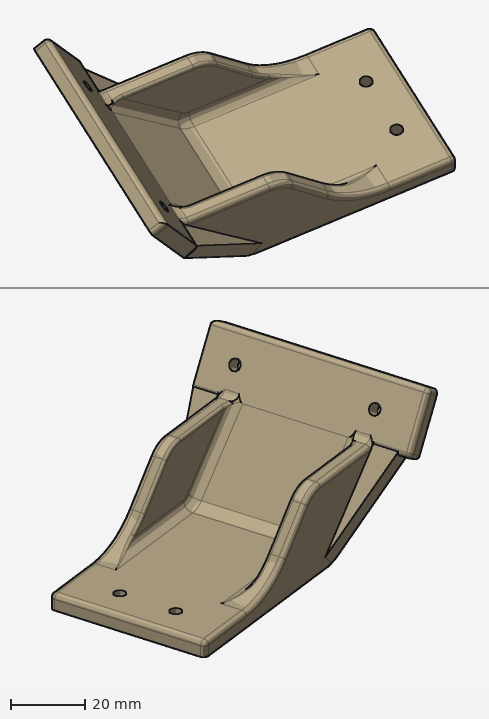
import cadquery as cq
import math

base_width = 50.0
plate = 5.0
base_length = 62.6
edge_round = 1.5
hole_diameter = 3.5
base_hole_spacing = 18.0
base_hole_setback = 10.1

wall_top = 27.6
wall_slope = math.radians(47)
wall_curve_start = 20.3
wall_foot_radius = 25.0
wall_shoulder_radius = 10.1
wall_end_radius = 3.0
inner_edge_round = 1.0

ramp_rise = 24.1
ramp_angle = math.radians(45)
ramp_corner_radius = 5.0
floor_bend_radius = 6.0
cavity_side_radius = 3.0
flange_angle = math.radians(60)
flange_length = 19.9
flange_right = 33.1
flange_left = -36.9
flange_hole_spacing = 44.95

half_base = base_width / 2
half_cavity = half_base - plate
bend_y = -(base_length + ramp_rise / math.tan(ramp_angle))

flange_normal = cq.Vector(0, -math.sin(flange_angle), -math.cos(flange_angle))
flange_plane = cq.Plane(origin=(0, bend_y, ramp_rise), xDir=(1, 0, 0), normal=flange_normal)
ramp_normal = cq.Vector(0, -math.sin(ramp_angle), -math.cos(ramp_angle))
ramp_plane = cq.Plane(origin=(0, -base_length, 0), xDir=(1, 0, 0), normal=ramp_normal)

flange_back_foot = flange_plane.toWorldCoords((0, 0, -plate))


def flange_back_y(z):
    """Y of the flange's rear face at height z."""
    return flange_back_foot.y - (z - flange_back_foot.z) / math.tan(flange_angle)


def ramp_top_y(z):
    """Y of the ramp's upper face at height z."""
    return -base_length + plate / math.sin(ramp_angle) - z / math.tan(ramp_angle)


def round_edge(solid, point, radius):
    """Round the edge nearest to a point, with the edges tangent to it."""
    return solid.edges(cq.NearestToPointSelector(point)).fillet(radius)


def round_cross_edge(solid, y, z, radius):
    """Round the edge running along X that is nearest to (y, z)."""
    return solid.edges("|X").edges(cq.NearestToPointSelector((0, y, z))).fillet(radius)


def make_body():
    """Base with both side walls still joined as one full-width block."""
    foot_y = -(wall_curve_start + wall_foot_radius * math.tan(wall_slope / 2))
    shoulder_y = foot_y - (wall_top - plate) / math.tan(wall_slope)
    block_end = flange_plane.toWorldCoords((0, flange_length / 2, -plate))
    profile = [
        (0, 0),
        (0, plate),
        (foot_y, plate),
        (shoulder_y, wall_top),
        (flange_back_y(wall_top), wall_top),
        (block_end.y, block_end.z),
        (bend_y, ramp_rise),
        (-base_length, 0),
    ]
    body = cq.Workplane("YZ").polyline(profile).close().extrude(half_base, both=True)
    body = round_cross_edge(body, foot_y, plate, wall_foot_radius)
    body = round_cross_edge(body, shoulder_y, wall_top, wall_shoulder_radius)
    return body.edges("|Z and >Y").fillet(edge_round)


def round_outer_edge(body):
    """Round the outer top edge along the left wall, the rear and the right wall."""
    return round_edge(body, (-half_base, -wall_curve_start / 2, plate), edge_round)


def make_cavity():
    """Space between the side walls, above the base and ramp and behind the flange."""
    clearance_z = wall_top + 2 * plate
    bottom_bend_y = ramp_top_y(plate)
    ramp_end_z = flange_back_foot.z
    gap = ramp_top_y(ramp_end_z) - flange_back_y(ramp_end_z)
    ramp_end_z += gap / (1 / math.tan(ramp_angle) - 1 / math.tan(flange_angle))
    ramp_end_y = flange_back_y(ramp_end_z)
    profile = [
        (edge_round, plate),
        (bottom_bend_y, plate),
        (ramp_end_y, ramp_end_z),
        (flange_back_y(clearance_z), clearance_z),
        (edge_round, clearance_z),
    ]
    cavity = cq.Workplane("YZ").polyline(profile).close().extrude(half_cavity, both=True)
    cavity = round_cross_edge(cavity, bottom_bend_y, plate, floor_bend_radius)
    for side in (-half_cavity, half_cavity):
        cavity = round_edge(cavity, (side, bottom_bend_y / 2, plate), cavity_side_radius)
    return cavity


def make_ramp():
    """Ramp plate, flaring from the base width to the flange width."""
    ramp_length = ramp_rise / math.sin(ramp_angle)
    outline = [
        (-half_base, 0),
        (half_base, 0),
        (flange_right, ramp_length),
        (-flange_right, ramp_length),
    ]
    return cq.Workplane(ramp_plane).polyline(outline).close().extrude(-plate)


def make_flange():
    """Tilted plate with rounded corners and rounded rear edges on its left and top."""
    flange = (
        cq.Workplane(flange_plane)
        .moveTo(flange_left, 0)
        .lineTo(flange_right, 0)
        .lineTo(flange_right, flange_length)
        .lineTo(flange_left, flange_length)
        .close()
        .extrude(-plate)
    )
    rear_top = flange_plane.toWorldCoords((0, flange_length, -plate)).toTuple()
    right_corner = flange_plane.toWorldCoords((flange_right, flange_length, -plate / 2)).toTuple()
    right_rounded = round_edge(flange, right_corner, edge_round)
    for height in (0, flange_length):
        left_corner = flange_plane.toWorldCoords((flange_left, height, -plate / 2)).toTuple()
        flange = round_edge(flange, left_corner, edge_round)
    return round_edge(flange, rear_top, edge_round).intersect(right_rounded)


def make_wall_ends():
    """Front stretch of both walls where their tops sweep up in an arc to the flange."""
    blended = round_cross_edge(make_body(), flange_back_y(wall_top), wall_top, wall_end_radius)
    blended = round_outer_edge(blended).cut(make_cavity())
    arc_start_y = flange_back_y(wall_top) + wall_end_radius * math.tan(flange_angle / 2)
    flange_middle = flange_plane.toWorldCoords((0, flange_length / 2, -plate / 2))
    keep_profile = [
        (arc_start_y, wall_top - plate / 2),
        (arc_start_y, flange_middle.z),
        (flange_middle.y, flange_middle.z),
        (bend_y + plate / 2, wall_top - plate / 2),
    ]
    keep = cq.Workplane("YZ").polyline(keep_profile).close().extrude(half_base, both=True)
    return blended.intersect(keep)


def drill(solid, plane, spacing, distance):
    """Drill a pair of through holes at the given distance along the plane's Y."""
    centers = [(-spacing / 2, distance), (spacing / 2, distance)]
    holes = cq.Workplane(plane).pushPoints(centers).circle(hole_diameter / 2).extrude(2 * plate, both=True)
    return solid.cut(holes)


body = round_outer_edge(make_body()).cut(make_cavity())
for side in (-half_cavity, half_cavity):
    body = round_edge(body, (side, -base_length, wall_top), inner_edge_round)

result = body.union(make_ramp()).union(make_flange())
result = result.union(make_wall_ends())
result = round_cross_edge(result, -base_length, 0, ramp_corner_radius)
result = drill(result, cq.Plane.XY(), base_hole_spacing, -base_hole_setback)
result = drill(result, flange_plane, flange_hole_spacing, flange_length / 2)